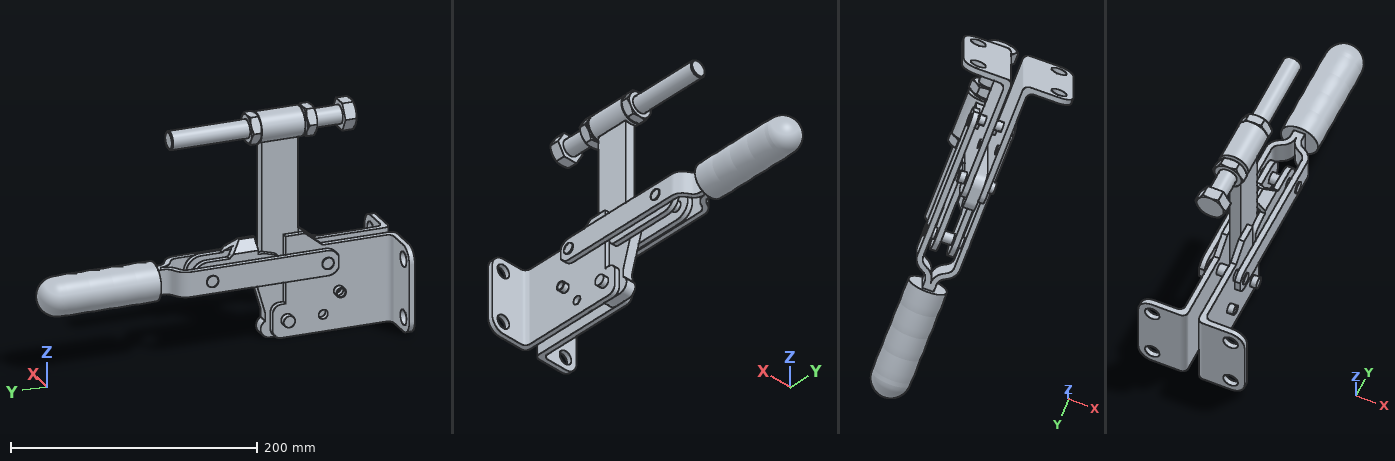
import cadquery as cq
import math


sheet = 5.0
arm_thickness = 10.0
gap_half = arm_thickness / 2
plate_outer = gap_half + sheet
strap_inner = 13.5
strap_outer = strap_inner + sheet
pin_radius = 5.0

handle_pivot = (64.5, 63.0)
link_pivot = (166.0, 63.0)
arm_pivot = (97.0, 15.5)
link_joint = (114.5, 63.0)

base_width = 95.0
base_height = 76.0
bend_radius = 5.0
flange_corner_radius = 12.5
mount_hole_radius = 6.5
mount_hole_x = 35.0
mount_hole_inset = 12.5
plate_back = 98.0
tab_top = 88.5
tab_front = 81.0
tab_slope_front = 65.5
lobe_back = 109.5
lobe_top = 29.5
lobe_radius = 7.5
tube_centre = (51.5, 34.0)
tube_radius = 4.25
tube_bore_radius = 3.5
plate_hole_centre = (65.0, 15.0)
plate_hole_radius = 4.0
base_pin_half_length = 15.5
fork_pin_half_length = strap_outer + 1.0

arm_front = 85.0
arm_back = 117.0
arm_front_corner_radius = 12.0
heel_centre = (110.0, 8.0)
heel_radius = heel_centre[1]
waist_back = 114.0
waist_top = 22.0
arm_knuckle_radius = 11.0
sleeve_radius = 13.0
sleeve_front = 82.0
sleeve_length = 38.0
sleeve_z = 184.0

bolt_radius = 8.0
bolt_tip = 197.0
bolt_length = 150.0
bolt_head_height = 10.5
bolt_tip_chamfer = 1.0
hex_across_flats = 24.0
nut_height = 8.5
hex_chamfer_angle = math.radians(30)
front_nut_start = 71.0
rear_nut_start = sleeve_front + sleeve_length

link_radius = 13.5
link_front = 103.0
link_slope_back = 117.0
link_slope_front = 108.0
link_slope_drop = 2.5
link_front_radius = 6.0
ear_front = 122.0
ear_slope_back = 147.5
ear_top_back = 135.5
ear_fold_z = 80.0
ear_bend_angle = math.radians(45)
ear_top = tab_top

strap_height = 22.0
strap_end_radius = strap_height / 2
strap_end_reach = 9.75
bend_start = 184.5
strap_bend_radius = 10.0
strap_bend_angle = math.radians(60)
grip_start = 210.0
grip_end = 312.0
grip_pitch = 20.4
grip_segments = 4
grip_joint_radius = 16.6
grip_bulge_radius = 17.1
dome_start = grip_end - grip_joint_radius


def slab(outline, half):
    """Extrude a closed YZ outline from X = -half to X = +half."""
    return outline.extrude(half, both=True)


def cross_pin(centre, radius, half):
    """Cylinder along X, centred on X = 0, at a (Y, Z) point."""
    return slab(cq.Workplane("YZ").center(*centre).circle(radius), half)


def rod_y(start, length, radius):
    """Cylinder along Y on the bolt axis."""
    return cq.Workplane("XZ", origin=(0, start, sleeve_z)).circle(radius).extrude(-length)


def base_plate():
    arc = math.sqrt(0.5)
    bend_end = sheet + bend_radius
    inner_corner = (plate_outer + bend_radius * (1 - arc), bend_end - bend_radius * arc)
    outer_corner = (gap_half + bend_radius * (1 - arc), bend_radius * (1 - arc))
    angle = (
        cq.Workplane("XY")
        .moveTo(gap_half, bend_end)
        .lineTo(gap_half, bend_radius)
        .threePointArc(outer_corner, (gap_half + bend_radius, 0))
        .lineTo(base_width / 2, 0)
        .lineTo(base_width / 2, sheet)
        .lineTo(plate_outer + bend_radius, sheet)
        .threePointArc(inner_corner, (plate_outer, bend_end))
        .close()
        .extrude(base_height)
        .edges("|Y").edges(">X").fillet(flange_corner_radius)
    )
    hole_height = (base_height - mount_hole_inset, mount_hole_inset)
    mount_holes = (
        cq.Workplane("XZ")
        .pushPoints([(mount_hole_x, z) for z in hole_height])
        .circle(mount_hole_radius)
        .extrude(-sheet)
    )
    web = (
        cq.Workplane("YZ", origin=(gap_half, 0, 0))
        .moveTo(bend_end, 0)
        .lineTo(lobe_back - lobe_radius, 0)
        .radiusArc((lobe_back, lobe_radius), -lobe_radius)
        .lineTo(lobe_back, lobe_top - lobe_radius)
        .radiusArc((lobe_back - lobe_radius, lobe_top), -lobe_radius)
        .lineTo(plate_back, lobe_top)
        .lineTo(plate_back, tab_top)
        .lineTo(tab_front, tab_top)
        .lineTo(tab_slope_front, base_height)
        .lineTo(bend_end, base_height)
        .close()
        .extrude(sheet)
    )
    plate_hole = cross_pin(plate_hole_centre, plate_hole_radius, plate_outer)
    return angle.cut(mount_holes).union(web).cut(plate_hole)


def make_base():
    plate = base_plate()
    return (
        plate.union(plate.mirror("YZ"))
        .union(cross_pin(tube_centre, tube_radius, base_pin_half_length))
        .union(cross_pin(arm_pivot, pin_radius, base_pin_half_length))
        .union(cross_pin(handle_pivot, pin_radius, fork_pin_half_length))
        .cut(cross_pin(tube_centre, tube_bore_radius, base_pin_half_length))
    )


def make_arm():
    pivot_y, pivot_z = link_joint
    distance = math.hypot(pivot_y - waist_back, pivot_z - waist_top)
    bearing = math.atan2(waist_top - pivot_z, waist_back - pivot_y)
    tangent = bearing + math.acos(arm_knuckle_radius / distance)
    knuckle_start = (
        pivot_y + arm_knuckle_radius * math.cos(tangent),
        pivot_z + arm_knuckle_radius * math.sin(tangent),
    )
    knuckle_rise = math.sqrt(arm_knuckle_radius**2 - (arm_back - pivot_y) ** 2)
    heel_y, heel_z = heel_centre
    waist_bottom = heel_z + math.sqrt(heel_radius**2 - (waist_back - heel_y) ** 2)
    outline = (
        cq.Workplane("YZ")
        .moveTo(arm_front, sleeve_z)
        .lineTo(arm_front, arm_front_corner_radius)
        .radiusArc((arm_front + arm_front_corner_radius, 0), -arm_front_corner_radius)
        .lineTo(heel_y, 0)
        .threePointArc((heel_y + heel_radius, heel_z), (waist_back, waist_bottom))
        .lineTo(waist_back, waist_top)
        .lineTo(*knuckle_start)
        .radiusArc((arm_back, pivot_z + knuckle_rise), -arm_knuckle_radius)
        .lineTo(arm_back, sleeve_z)
        .close()
    )
    return (
        slab(outline, gap_half)
        .union(rod_y(sleeve_front, sleeve_length, sleeve_radius))
        .cut(rod_y(sleeve_front, sleeve_length, bolt_radius))
        .cut(cross_pin(arm_pivot, pin_radius, gap_half))
    )


def make_link():
    y_back, z_mid = link_pivot
    link_top = z_mid + link_radius
    link_bottom = z_mid - link_radius
    slope_end_z = link_top - link_slope_drop
    side_outline = (
        cq.Workplane("YZ", origin=(gap_half, 0, 0))
        .moveTo(link_slope_back, link_top)
        .lineTo(y_back, link_top)
        .threePointArc((y_back + link_radius, z_mid), (y_back, link_bottom))
        .lineTo(link_front + link_front_radius, link_bottom)
        .radiusArc((link_front, link_bottom + link_front_radius), link_front_radius)
        .lineTo(link_front, slope_end_z - link_front_radius)
        .radiusArc((link_slope_front, slope_end_z), link_front_radius)
        .close()
    )
    side = side_outline.extrude(sheet)
    sides = side.union(side.mirror("YZ"))

    ear_run = (ear_top - ear_fold_z) / math.tan(ear_bend_angle)
    inner_fold_z = ear_fold_z - sheet * math.tan(ear_bend_angle / 2)
    half_section = [
        (gap_half, z_mid),
        (plate_outer, z_mid),
        (plate_outer, ear_fold_z),
        (plate_outer - ear_run, ear_top),
        (0, ear_top),
        (0, inner_fold_z + gap_half * math.tan(ear_bend_angle)),
        (gap_half, inner_fold_z),
    ]
    roof = cq.Workplane("XZ", origin=(0, ear_front, 0)).polyline(half_section).close()
    roof = roof.extrude(ear_front - ear_slope_back)
    roof = roof.union(roof.mirror("YZ"))
    ear_profile = slab(
        cq.Workplane("YZ")
        .moveTo(ear_front, z_mid)
        .lineTo(ear_front, ear_top)
        .lineTo(ear_top_back, ear_top)
        .lineTo(ear_slope_back, link_top)
        .lineTo(ear_slope_back, z_mid)
        .close(),
        plate_outer,
    )
    return sides.union(roof.intersect(ear_profile)).cut(cross_pin(link_pivot, pin_radius, plate_outer))


def fork_strap():
    pivot_y, z_mid = handle_pivot
    strap_end = pivot_y - strap_end_reach
    start_x = (strap_inner + strap_outer) / 2
    neck_x = sheet / 2
    arc_x = strap_bend_radius * (1 - math.cos(strap_bend_angle))
    arc_y = strap_bend_radius * math.sin(strap_bend_angle)
    slant_x = start_x - neck_x - 2 * arc_x
    slant_y = slant_x / math.tan(strap_bend_angle)
    neck_start = bend_start + 2 * arc_y + slant_y
    path = (
        cq.Workplane("XY", origin=(0, 0, z_mid))
        .moveTo(start_x, strap_end)
        .lineTo(start_x, bend_start)
        .radiusArc((start_x - arc_x, bend_start + arc_y), -strap_bend_radius)
        .lineTo(neck_x + arc_x, neck_start - arc_y)
        .radiusArc((neck_x, neck_start), strap_bend_radius)
        .lineTo(neck_x, grip_start)
    )
    strap = (
        cq.Workplane("XZ", origin=(start_x, strap_end, z_mid))
        .rect(sheet, strap_height)
        .sweep(path)
    )
    rounding = slab(
        cq.Workplane("YZ")
        .moveTo(grip_start, z_mid - strap_end_radius)
        .lineTo(pivot_y, z_mid - strap_end_radius)
        .threePointArc((pivot_y - strap_end_radius, z_mid), (pivot_y, z_mid + strap_end_radius))
        .lineTo(grip_start, z_mid + strap_end_radius)
        .close(),
        strap_outer,
    )
    return strap.intersect(rounding)


def make_handle():
    strap = fork_strap()
    return (
        strap.union(strap.mirror("YZ"))
        .cut(cross_pin(handle_pivot, pin_radius, fork_pin_half_length))
        .union(cross_pin(link_pivot, pin_radius, fork_pin_half_length))
    )


def make_grip():
    profile = cq.Workplane("YZ").moveTo(grip_start, 0).lineTo(grip_start, grip_joint_radius)
    for index in range(grip_segments):
        y = grip_start + index * grip_pitch
        profile = profile.threePointArc(
            (y + grip_pitch / 2, grip_bulge_radius), (y + grip_pitch, grip_joint_radius)
        )
    profile = (
        profile.lineTo(dome_start, grip_joint_radius)
        .radiusArc((grip_end, 0), grip_joint_radius)
        .close()
    )
    return profile.revolve(360, (0, 0, 0), (1, 0, 0)).translate((0, 0, handle_pivot[1]))


def hex_prism(start, height, chamfer_front, chamfer_back):
    """Hexagon along Y with flats facing up and down and 30 degree corner chamfers."""
    flat = hex_across_flats / 2
    corner = flat / math.cos(math.pi / 6)
    drop = (corner - flat) * math.tan(hex_chamfer_angle)
    front = flat if chamfer_front else corner
    back = flat if chamfer_back else corner
    prism = (
        cq.Workplane("XZ", origin=(0, start, sleeve_z))
        .polygon(6, 2 * corner)
        .extrude(-height)
    )
    envelope = (
        cq.Workplane("XY", origin=(0, start, sleeve_z))
        .lineTo(front, 0)
        .lineTo(corner, drop)
        .lineTo(corner, height - drop)
        .lineTo(back, height)
        .lineTo(0, height)
        .close()
        .revolve(360, (0, 0, 0), (0, 1, 0))
    )
    return prism.intersect(envelope)


def make_bolt():
    shank_start = bolt_tip - bolt_length
    shank = rod_y(shank_start, bolt_length, bolt_radius).faces(">Y").chamfer(bolt_tip_chamfer)
    head = hex_prism(shank_start - bolt_head_height, bolt_head_height, True, False)
    return shank.union(head)


def make_nut(start):
    return hex_prism(start, nut_height, True, True).cut(rod_y(start, nut_height, bolt_radius))


base = make_base()
arm = make_arm()
link = make_link()
handle = make_handle()
grip = make_grip()
bolt = make_bolt()
nuts = [make_nut(start) for start in (front_nut_start, rear_nut_start)]

bodies = [base, arm, link, handle, grip, bolt, *nuts]
result = cq.Compound.makeCompound([body.solids().val() for body in bodies])